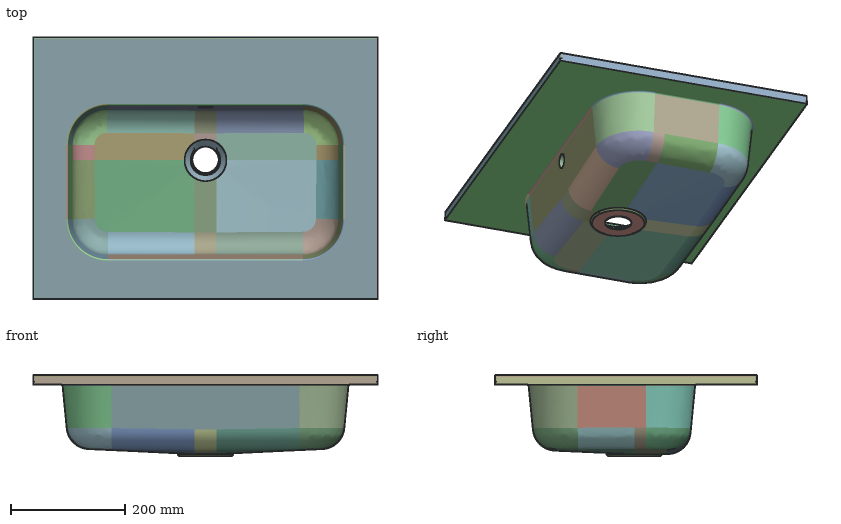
import cadquery as cq

slab_width = 605.0
slab_depth = 460.0
slab_thickness = 17.0
slab_edge_radius = 2.5
base_strip_height = 5.0

total_height = 143.0

bowl_center_y = -25.0
wall_taper = 5.5

mouth_width = 483.0
mouth_depth = 270.5
mouth_corner_radius = 70.0
mouth_edge_radius = 2.5
inner_floor_z = -122.0
inner_valley_z = -130.0
inner_rim_radius = 40.5

shell_width = 502.0
shell_depth = 293.0
shell_corner_radius = 86.5
shell_neck_radius = 3.0
outer_floor_z = -130.5
outer_valley_z = -139.0
outer_rim_radius = 42.0

floor_width = 387.0
floor_front_y = -181.5
valley_width = 39.0

drain_y = 14.5
drain_hole_diameter = 46.0
drain_seat_diameter = 71.5
drain_seat_depth = 11.5
drain_boss_diameter = 98.0
drain_boss_taper = 40.0

overflow_diameter = 25.0
overflow_z = -37.5

selection_margin = 6.0


def floor_section(y, floor_z, valley_z):
    """Outline across the bowl at y: a valley with a flat bottom, open up to the slab top."""
    half_slab = slab_width / 2
    half_valley = valley_width / 2
    slope = (floor_z - valley_z) / (floor_width / 2 - half_valley)
    side_z = valley_z + slope * (half_slab - half_valley)
    points = [
        (-half_slab, 0),
        (-half_slab, side_z),
        (-half_valley, valley_z),
        (half_valley, valley_z),
        (half_slab, side_z),
        (half_slab, 0),
    ]
    return cq.Workplane("XZ", origin=(0, y, 0)).polyline(points).close().wires().val()


def space_above_floor(floor_z, valley_z):
    """Space between the floor and the slab top, reaching past the bowl walls."""
    level_front = floor_section(floor_front_y, floor_z, floor_z)
    valley_at_drain = floor_section(drain_y, floor_z, valley_z)
    valley_at_back = floor_section(slab_depth / 2, floor_z, valley_z)
    front = cq.Solid.makeLoft([level_front, valley_at_drain], True)
    back = cq.Solid.makeLoft([valley_at_drain, valley_at_back], True)
    return cq.Workplane(front).union(cq.Workplane(back))


def bowl_solid(width, depth, corner_radius, top_z, floor_z, valley_z, rim_radius):
    """Tapered rounded box from top_z down to the sloping floor, with the floor rim rounded."""
    outline = cq.Sketch().rect(width, depth).vertices().fillet(corner_radius)
    walls = (
        cq.Workplane("XY", origin=(0, bowl_center_y, top_z))
        .placeSketch(outline)
        .extrude(-total_height, taper=wall_taper)
    )
    bowl = walls.intersect(space_above_floor(floor_z, valley_z))

    floor_zone = cq.selectors.BoxSelector(
        (-slab_width, -slab_depth, -total_height),
        (slab_width, slab_depth, floor_z + rim_radius / 2),
    )
    wall_edges = bowl.faces(cq.selectors.InverseSelector(floor_zone)).edges().vals()
    floor_edges = bowl.faces(floor_zone).edges().vals()
    rim = [edge for edge in floor_edges if any(edge.isSame(other) for other in wall_edges)]
    return bowl.newObject(rim).fillet(rim_radius)


def bowl_outline_edges(width, depth, z):
    """Selector for the edges of the bowl outline that lie in the plane at z."""
    half_width = width / 2 + selection_margin
    half_depth = depth / 2 + selection_margin
    return cq.selectors.BoxSelector(
        (-half_width, bowl_center_y - half_depth, z - selection_margin / 2),
        (half_width, bowl_center_y + half_depth, z + selection_margin / 2),
        boundingbox=True,
    )


def make_slab():
    """Slab with rounded upper edges and corners over a sharp-cornered base strip."""
    base_strip = (
        cq.Workplane("XY", origin=(0, 0, -slab_thickness))
        .rect(slab_width, slab_depth)
        .extrude(base_strip_height)
    )
    upper = (
        cq.Workplane("XY", origin=(0, 0, base_strip_height - slab_thickness))
        .rect(slab_width, slab_depth)
        .extrude(slab_thickness - base_strip_height)
        .edges("|Z or >Z")
        .fillet(slab_edge_radius)
    )
    return upper.union(base_strip)


def make_drain_boss():
    """Short tapered boss from the lowest part of the outer floor to the underside."""
    return (
        cq.Workplane("XY", origin=(0, drain_y, outer_valley_z))
        .circle(drain_boss_diameter / 2)
        .extrude(-(total_height + outer_valley_z), taper=drain_boss_taper)
    )


def make_drain_opening():
    """Conical seat, continued up past the sloping floor, with the through hole below it."""
    hole_radius = drain_hole_diameter / 2
    flare = (drain_seat_diameter / 2 - hole_radius) / drain_seat_depth
    seat_bottom_z = inner_valley_z - drain_seat_depth
    seat_height = inner_floor_z - seat_bottom_z
    seat = cq.Solid.makeCone(
        hole_radius,
        hole_radius + flare * seat_height,
        seat_height,
        pnt=cq.Vector(0, drain_y, seat_bottom_z),
    )
    hole = (
        cq.Workplane("XY", origin=(0, drain_y, -total_height))
        .circle(hole_radius)
        .extrude(total_height)
    )
    return hole.union(cq.Workplane(seat))


def make_overflow():
    """Round hole running back from the middle of the bowl through the back wall."""
    return (
        cq.Workplane("XZ", origin=(0, drain_y, overflow_z))
        .circle(overflow_diameter / 2)
        .extrude(-slab_depth / 2)
    )


shell = bowl_solid(
    shell_width,
    shell_depth,
    shell_corner_radius,
    -slab_thickness,
    outer_floor_z,
    outer_valley_z,
    outer_rim_radius,
)
cavity = bowl_solid(
    mouth_width,
    mouth_depth,
    mouth_corner_radius,
    0,
    inner_floor_z,
    inner_valley_z,
    inner_rim_radius,
)
neck_edges = bowl_outline_edges(shell_width, shell_depth, -slab_thickness)
mouth_edges = bowl_outline_edges(mouth_width, mouth_depth, 0)

basin = make_slab().union(shell).edges(neck_edges).fillet(shell_neck_radius)
basin = basin.union(make_drain_boss())
basin = basin.cut(cavity).edges(mouth_edges).fillet(mouth_edge_radius)
result = basin.cut(make_drain_opening()).cut(make_overflow())